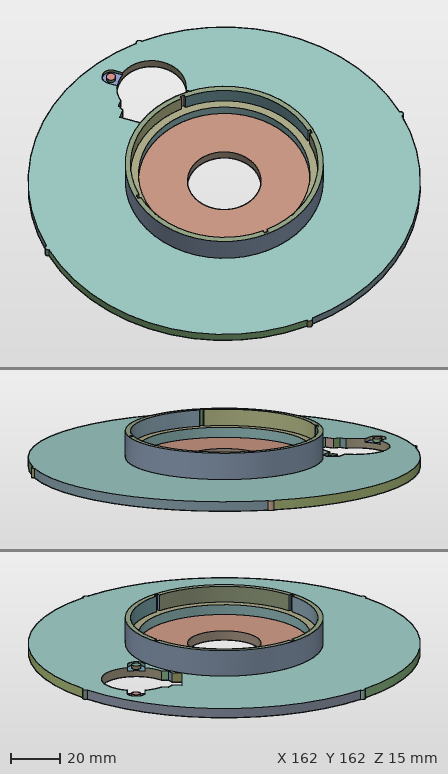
import cadquery as cq

outer_size = 162.0
disc_diameter = 160.0
disc_thickness = 4.0
nub_radius = 1.3
nub_count = 4
hub_hole_diameter = 30.0

total_height = 15.0
ring_diameter = 80.8
ring_bore_diameter = 70.0
recess_diameter = 76.5
shelf_height = 8.3
notch_width = 1.6
notch_depth = 1.1

motor_x = -56.4
motor_y = -5.7
motor_angle = -45
motor_diameter = 28.3
collar_radius = 16.4
collar_width = 19.5
box_reach = 18.6
box_width = 14.5

ear_spacing = 35.2
ear_radius = 3.5
ear_depth = 1.5
pin_diameter = 3.7


def make_disc():
    """Disc with a central hole and four rim nubs."""
    disc = cq.Workplane("XY").circle(disc_diameter / 2).extrude(disc_thickness)
    nubs = (
        cq.Workplane("XY")
        .polarArray(outer_size / 2 - nub_radius, 0, 360, nub_count)
        .circle(nub_radius)
        .extrude(disc_thickness)
    )
    hub_hole = cq.Workplane("XY").circle(hub_hole_diameter / 2).extrude(disc_thickness)
    return disc.union(nubs).cut(hub_hole)


def make_ring():
    """Ring with an inner shelf and four notches in the wall above the shelf."""
    ring = (
        cq.Workplane("XY")
        .workplane(offset=disc_thickness)
        .circle(ring_diameter / 2)
        .circle(ring_bore_diameter / 2)
        .extrude(total_height - disc_thickness)
    )
    shelf_plane = cq.Workplane("XY").workplane(offset=shelf_height)
    recess_height = total_height - shelf_height
    recess = shelf_plane.circle(recess_diameter / 2).extrude(recess_height)
    notch_span = recess_diameter + 2 * notch_depth
    for length, width in ((notch_span, notch_width), (notch_width, notch_span)):
        recess = recess.union(shelf_plane.rect(length, width).extrude(recess_height))
    return ring.cut(recess)


def place_at_motor(shape):
    """Move a shape from the motor's local axes to its place on the disc."""
    return shape.rotate((0, 0, 0), (0, 0, 1), motor_angle).translate((motor_x, motor_y, 0))


def make_motor_opening():
    """Through opening: round body, wider collar beside it and terminal box."""
    base = cq.Workplane("XY")
    body = base.circle(motor_diameter / 2).extrude(disc_thickness)
    collar_side = base.rect(collar_radius, collar_width, centered=(False, True)).extrude(disc_thickness)
    collar = base.circle(collar_radius).extrude(disc_thickness).intersect(collar_side)
    box = base.rect(box_reach, box_width, centered=(False, True)).extrude(disc_thickness)
    return body.union(collar).union(box)


def make_ear_pockets():
    """Round-ended pockets for both ears, leaving a pin standing in each."""
    pocket_plane = cq.Workplane("XY").workplane(offset=disc_thickness - ear_depth)
    ear_length = ear_spacing + 2 * ear_radius
    pockets = pocket_plane.slot2D(ear_length, 2 * ear_radius, 90).extrude(ear_depth)
    pin_centers = [(0, -ear_spacing / 2), (0, ear_spacing / 2)]
    pins = pocket_plane.pushPoints(pin_centers).circle(pin_diameter / 2).extrude(ear_depth)
    return pockets.cut(pins)


disc = make_disc().cut(place_at_motor(make_motor_opening())).cut(place_at_motor(make_ear_pockets()))
result = disc.union(make_ring())